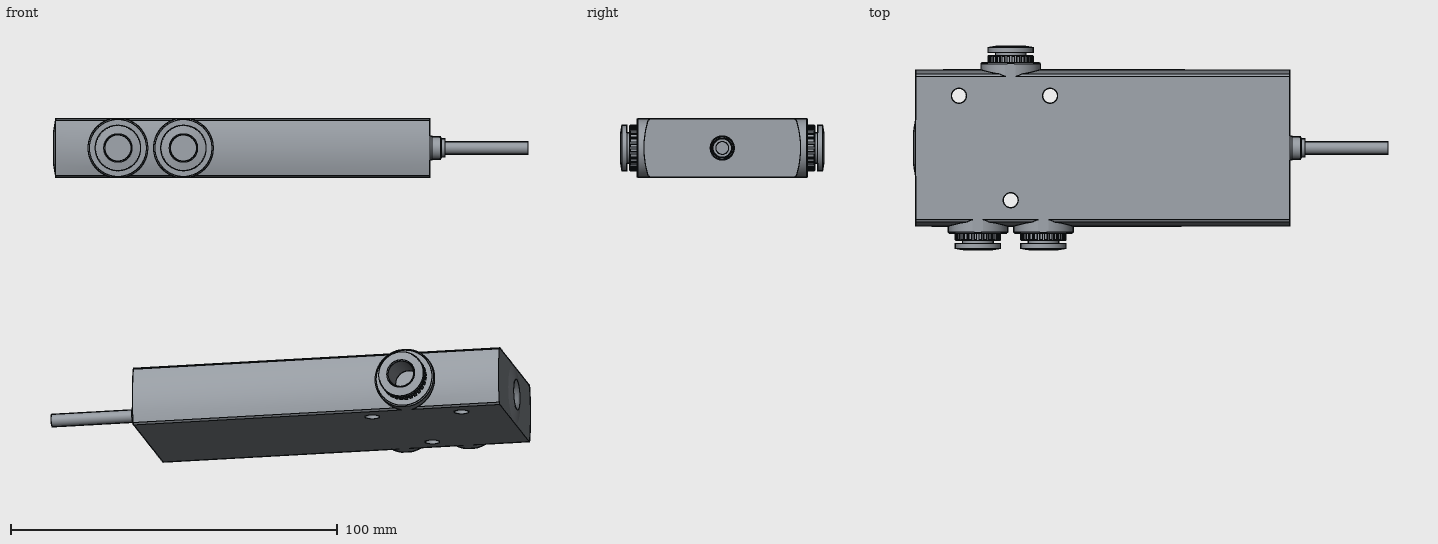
import cadquery as cq

overall_length = 145.4
overall_width = 62.4

body_length = 114.6
body_height = 18.0
body_half_width = 24.0
side_bulge = 1.5
edge_chamfer = 0.6

mount_hole_diameter = 4.5
mount_hole_offset_y = 16.0
rear_hole_positions_x = (13.2, 41.1)
front_hole_position_x = 29.1

crown_rise = 0.7
cap_mouth_diameter = 9.5
cap_bore_diameter = 8.0
cap_bore_floor_diameter = 3.9
cap_mouth_bevel = 0.5
cap_bore_depth = 2.2

fitting_center_x = 29.1
front_fitting_spacing = 20.0
collar_diameter = 18.3
collar_bevel = 0.5
collar_face_y = 26.2
fitting_root_y = 18.9
ring_diameter = 14.0
ring_end_y = 28.4
ring_bevel = 0.3
neck_diameter = 9.5
sleeve_start_y = 29.2
sleeve_end_y = overall_width / 2
bore_diameter = 8.0
bore_mouth_diameter = 8.7
bore_mouth_bevel = 0.3
sleeve_crown_rise = 0.5
bore_depth = 11.6
tooth_count = 28
notch_width = 0.7
notch_depth = 0.6

outlet_steps = ((7.4, 0.6), (7.0, 3.2), (6.3, 3.6), (5.7, 4.7))
cable_diameter = 3.9


def make_body():
    """Block whose two long sides are shallow arcs with chamfered edges."""
    half_height = body_height / 2
    corner_y = body_half_width - side_bulge
    profile = (
        cq.Workplane("YZ")
        .moveTo(-corner_y, -half_height)
        .lineTo(corner_y, -half_height)
        .threePointArc((body_half_width, 0), (corner_y, half_height))
        .lineTo(-corner_y, half_height)
        .threePointArc((-body_half_width, 0), (-corner_y, -half_height))
        .close()
    )
    return profile.extrude(body_length).edges("|X").chamfer(edge_chamfer)


def make_mount_holes():
    """Three vertical through holes."""
    centers = [(x, mount_hole_offset_y) for x in rear_hole_positions_x]
    centers.append((front_hole_position_x, -mount_hole_offset_y))
    return (
        cq.Workplane("XY", origin=(0, 0, -body_height / 2))
        .pushPoints(centers)
        .circle(mount_hole_diameter / 2)
        .extrude(body_height)
    )


def revolve_about_x(points):
    """Solid of revolution about X from (x, radius) points."""
    return cq.Workplane("XY").polyline(points).close().revolve(360, (0, 0, 0), (1, 0, 0))


def make_end_cap():
    """Shallow conical crown as wide as the body is high."""
    mouth_radius = cap_mouth_diameter / 2
    return revolve_about_x([
        (0, 0),
        (0, body_height / 2),
        (-crown_rise, mouth_radius),
        (-crown_rise, 0),
    ])


def make_cap_bore():
    """Bevelled mouth leading into a tapered blind bore."""
    mouth_x = -crown_rise
    return revolve_about_x([
        (mouth_x, 0),
        (mouth_x, cap_mouth_diameter / 2),
        (mouth_x + cap_mouth_bevel, cap_bore_diameter / 2),
        (mouth_x + cap_bore_depth, cap_bore_floor_diameter / 2),
        (mouth_x + cap_bore_depth, 0),
    ])


def make_fitting():
    """Push-in fitting along +Y: flat-sided collar, toothed ring, neck and release sleeve."""
    collar_radius = collar_diameter / 2
    ring_radius = ring_diameter / 2
    neck_radius = neck_diameter / 2
    shape = (
        cq.Workplane("XY")
        .polyline([
            (0, fitting_root_y),
            (collar_radius, fitting_root_y),
            (collar_radius, collar_face_y - collar_bevel),
            (collar_radius - collar_bevel, collar_face_y),
            (ring_radius, collar_face_y),
            (ring_radius, ring_end_y - ring_bevel),
            (ring_radius - ring_bevel, ring_end_y),
            (neck_radius, ring_end_y),
            (neck_radius, sleeve_start_y),
            (ring_radius, sleeve_start_y),
            (ring_radius, sleeve_end_y - sleeve_crown_rise),
            (bore_mouth_diameter / 2, sleeve_end_y),
            (bore_diameter / 2, sleeve_end_y - bore_mouth_bevel),
            (0, sleeve_end_y - bore_mouth_bevel),
        ])
        .close()
        .revolve(360, (0, 0, 0), (0, 1, 0))
    )
    flush_slab = cq.Workplane("XY").box(collar_diameter, overall_width, body_height)
    ring_length = ring_end_y - collar_face_y
    notches = (
        cq.Workplane("XZ", origin=(0, ring_end_y, 0))
        .polarArray(ring_radius, 0, 360, tooth_count)
        .rect(2 * notch_depth, notch_width)
        .extrude(ring_length)
    )
    return shape.intersect(flush_slab).cut(notches)


def make_fitting_bore():
    """Blind tube socket of a fitting along +Y."""
    return (
        cq.Workplane("XZ", origin=(0, sleeve_end_y, 0))
        .circle(bore_diameter / 2)
        .extrude(bore_depth)
    )


def make_cable_outlet():
    """Stepped strain relief and cable leaving the rear face."""
    cable_tip = overall_length - crown_rise
    outlet = (
        cq.Workplane("YZ", origin=(body_length, 0, 0))
        .circle(cable_diameter / 2)
        .extrude(cable_tip - body_length)
    )
    for diameter, step_end in outlet_steps:
        step = (
            cq.Workplane("YZ", origin=(body_length, 0, 0))
            .circle(diameter / 2)
            .extrude(step_end)
        )
        outlet = outlet.union(step)
    return outlet


half_spacing = front_fitting_spacing / 2
fitting_places = (
    (fitting_center_x, 0),
    (fitting_center_x - half_spacing, 180),
    (fitting_center_x + half_spacing, 180),
)
fitting = make_fitting()
fitting_bore = make_fitting_bore()

result = make_body().union(make_end_cap()).union(make_cable_outlet())
for place_x, turn in fitting_places:
    placed_fitting = fitting.rotate((0, 0, 0), (0, 0, 1), turn).translate((place_x, 0, 0))
    placed_bore = fitting_bore.rotate((0, 0, 0), (0, 0, 1), turn).translate((place_x, 0, 0))
    result = result.union(placed_fitting).cut(placed_bore)
result = result.cut(make_mount_holes()).cut(make_cap_bore())